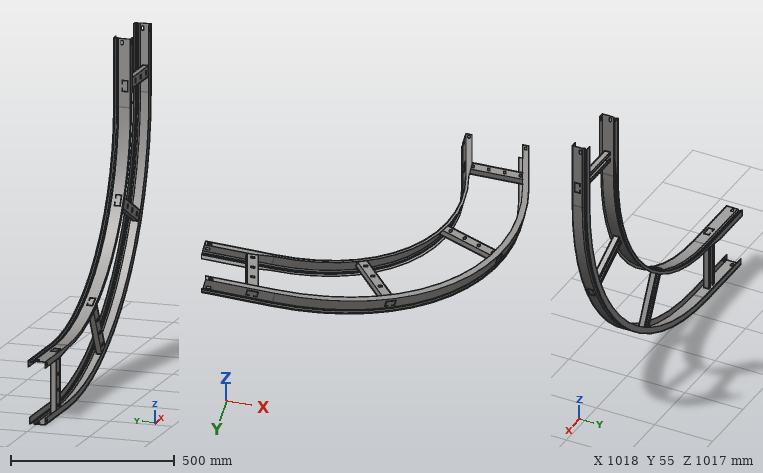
import cadquery as cq
import math


OUTER_RADIUS = 800.0
RAIL_SPACING = 199.0
INNER_RADIUS = OUTER_RADIUS - RAIL_SPACING
LEG_X = 218.0
LEG_Z = 217.0

SHEET = 1.5
INNER_DEPTH = 55.0
OUTER_DEPTH = 51.0
FLANGE = 20.0
GROOVE_EDGE = 4.0
GROOVE_WIDTH = 12.0
GROOVE_DEPTH = 4.0
GROOVE_FLOOR = 4.0

BEND_FLANGE = 10.0
TAPER = 70.0

RUNG_WIDTH = 36.0
RUNG_DEPTH = 19.0
RUNG_FRONT = 8.0
RUNG_LIP = 11.0
LEG_RUNG = 67.0
BEND_RUNG_ANGLE = 27.4

RUNG_SLOT = (14.0, 8.0)
RUNG_SLOT_COUNT = 4
RUNG_SLOT_PITCH = RAIL_SPACING / RUNG_SLOT_COUNT
END_SLOT = (14.0, 7.0)
INNER_SLOT_END = 13.0
OUTER_SLOT_END = 16.0
WEB_SLOT_Y = 27.0


def rail_section(plane, depth, face_radius, side, swap):
    """Channel section. side is +1 when the flanges point away from the bend axis."""

    def point(reach, y):
        radius = face_radius + side * reach
        return (y, -radius) if swap else (radius, y)

    groove_middle = depth - GROOVE_EDGE - GROOVE_WIDTH / 2
    groove = [
        (0, groove_middle - GROOVE_WIDTH / 2),
        (GROOVE_DEPTH, groove_middle - GROOVE_FLOOR / 2),
        (GROOVE_DEPTH, groove_middle + GROOVE_FLOOR / 2),
        (0, groove_middle + GROOVE_WIDTH / 2),
    ]
    outside = [(FLANGE, 0), (0, 0), *groove, (0, depth), (FLANGE, depth)]
    inside_groove = [(reach + SHEET, y) for reach, y in reversed(groove)]
    inside = [
        (FLANGE, depth - SHEET),
        (SHEET, depth - SHEET),
        *inside_groove,
        (SHEET, SHEET),
        (FLANGE, SHEET),
    ]
    outline = [point(reach, y) for reach, y in outside + inside]
    return cq.Workplane(plane).polyline(outline).close()


def bent_rail(depth, face_radius, side):
    """Leg along -X, quarter bend, leg along +Z."""
    low_section = rail_section("YZ", depth, face_radius, side, True)
    bend = low_section.revolve(90, (0, 0), (-1, 0))
    low_leg = rail_section("YZ", depth, face_radius, side, True).extrude(-LEG_X)
    high_leg = rail_section("XY", depth, face_radius, side, False).extrude(LEG_Z)
    return bend.union(low_leg).union(high_leg)


def slot_cutter(size, centre, along, normal, depth):
    """Round-ended slot, centred on a point, running along one direction."""
    plane = cq.Plane(origin=centre, xDir=along, normal=normal)
    return cq.Workplane(plane).slot2D(*size).extrude(depth, both=True)


def cut_end_slots(rail, face_radius, side, from_end):
    """One slot through the web and one through the front flange at each leg end."""
    flange_radius = face_radius + side * FLANGE / 2
    low_x = from_end - LEG_X
    high_z = LEG_Z - from_end
    x_axis, y_axis, z_axis = (1, 0, 0), (0, 1, 0), (0, 0, 1)
    slots = [
        ((low_x, WEB_SLOT_Y, -face_radius), x_axis, z_axis),
        ((low_x, 0, -flange_radius), x_axis, y_axis),
        ((face_radius, WEB_SLOT_Y, high_z), z_axis, x_axis),
        ((flange_radius, 0, high_z), z_axis, y_axis),
    ]
    for centre, along, normal in slots:
        rail = rail.cut(slot_cutter(END_SLOT, centre, along, normal, FLANGE / 2))
    return rail


def trim_flanges(rail):
    """Narrow both flanges through the bend, with a taper at the end of each leg."""
    narrow = INNER_RADIUS + BEND_FLANGE
    wide = INNER_RADIUS + FLANGE
    beyond = OUTER_RADIUS
    middle = narrow * math.sqrt(0.5)
    waste = (
        cq.Workplane("XZ")
        .moveTo(-TAPER, -wide)
        .lineTo(0, -narrow)
        .threePointArc((middle, -middle), (narrow, 0))
        .lineTo(wide, TAPER)
        .lineTo(beyond, TAPER)
        .lineTo(beyond, -beyond)
        .lineTo(-TAPER, -beyond)
        .close()
        .extrude(-INNER_DEPTH)
    )
    return rail.cut(waste)


def make_rung():
    """Lipped channel along +X, open at the back, with slots in its front face."""
    half = RUNG_WIDTH / 2
    back = RUNG_FRONT + RUNG_DEPTH
    opening = RUNG_WIDTH - 2 * RUNG_LIP
    cavity_width = RUNG_WIDTH - 2 * SHEET
    cavity_front = RUNG_FRONT + SHEET
    rung = cq.Workplane("XY").box(RAIL_SPACING, RUNG_DEPTH, RUNG_WIDTH, centered=False)
    rung = rung.translate((INNER_RADIUS, RUNG_FRONT, -half))
    cavity = cq.Workplane("XY").box(
        RAIL_SPACING, RUNG_DEPTH - 2 * SHEET, cavity_width, centered=False
    ).translate((INNER_RADIUS, cavity_front, -cavity_width / 2))
    mouth = cq.Workplane("XY").box(
        RAIL_SPACING, back - cavity_front, opening, centered=False
    ).translate((INNER_RADIUS, cavity_front, -opening / 2))
    rung = rung.cut(cavity).cut(mouth)
    for index in range(RUNG_SLOT_COUNT):
        radius = INNER_RADIUS + (index + 0.5) * RUNG_SLOT_PITCH
        slot = slot_cutter(RUNG_SLOT, (radius, RUNG_FRONT, 0), (0, 0, 1), (0, 1, 0), 2 * SHEET)
        rung = rung.cut(slot)
    return rung


def place_rung(angle, shift):
    """Turn a rung about the bend axis, angle measured from +X toward -Z, then shift it."""
    return make_rung().rotate((0, 0, 0), (0, 1, 0), angle).translate(shift)


rungs = [
    place_rung(angle, shift)
    for angle, shift in [
        (0, (0, 0, LEG_RUNG)),
        (BEND_RUNG_ANGLE, (0, 0, 0)),
        (90 - BEND_RUNG_ANGLE, (0, 0, 0)),
        (90, (-LEG_RUNG, 0, 0)),
    ]
]

inner_rail = trim_flanges(bent_rail(INNER_DEPTH, INNER_RADIUS, 1))
inner_rail = cut_end_slots(inner_rail, INNER_RADIUS, 1, INNER_SLOT_END)
outer_rail = bent_rail(OUTER_DEPTH, OUTER_RADIUS, -1)
outer_rail = cut_end_slots(outer_rail, OUTER_RADIUS, -1, OUTER_SLOT_END)

for rung in rungs:
    inner_rail = inner_rail.cut(rung)
    outer_rail = outer_rail.cut(rung)

result = cq.Compound.makeCompound(
    [inner_rail.val(), outer_rail.val(), *[rung.val() for rung in rungs]]
)